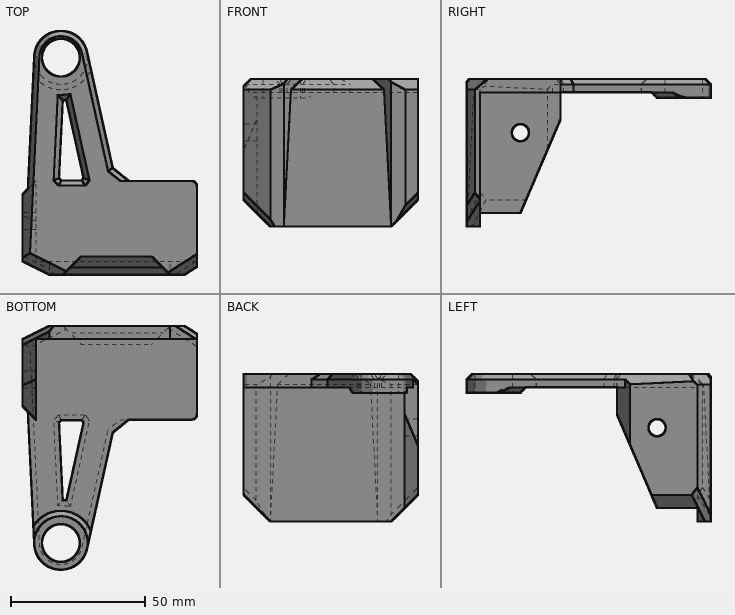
import cadquery as cq
import math

width = 65.0
depth = 35.0
height = 55.0
wall = 5.0

left_bevel_x = 10.0
left_bevel_y = 5.0
right_bevel_x = 4.7
right_bevel_y = 3.0
rear_left_bevel = 5.0
rear_right_radius = 2.0

lower_corner = 10.0
lower_edge_chamfer = 2.0
top_bevel = 4.0
wall_rear_z = -15.0
wall_foot_y = 20.0
wall_foot_z = -50.0

recess_left = 15.0
recess_right = 55.0
recess_lean = 3.0

cross_hole_diameter = 6.3
cross_hole_y = 20.0
cross_hole_z = -20.0

eye_x = 14.3
eye_y = 80.91
eye_radius = 10.0
eye_hole_diameter = 14.0
eye_height = 7.0
eye_foot_flare = 2.0
arm_left_tilt = 2.75
arm_right_tilt = 12.5
arm_chamfer = 2.0
arm_root_y = 20.0
gusset_start_y = 39.8
gusset_tilt = 39.0

window_margin = 9.5
window_front_y = 33.2
window_rear_y = 66.9
window_rear_tilt = 4.9
window_corner = 2.0


def tan_deg(angle):
    return math.tan(math.radians(angle))


def eye_point(angle):
    """Point on the rim of the eye, at an angle from +X."""
    turn = math.radians(angle)
    return (eye_x + eye_radius * math.cos(turn), eye_y + eye_radius * math.sin(turn))


left_tangent = eye_point(180 - arm_left_tilt)
right_tangent = eye_point(arm_right_tilt)


def arm_left_x(y, inset=0.0):
    """X of the arm's left side at y, moved square into the arm by inset."""
    shift = inset / math.cos(math.radians(arm_left_tilt))
    return left_tangent[0] + (y - left_tangent[1]) * tan_deg(arm_left_tilt) + shift


def arm_right_x(y, inset=0.0):
    """X of the arm's right side at y, moved square into the arm by inset."""
    shift = inset / math.cos(math.radians(arm_right_tilt))
    return right_tangent[0] + (right_tangent[1] - y) * tan_deg(arm_right_tilt) - shift


def side_prism(points):
    """Y-Z outline extruded across the whole width."""
    return cq.Workplane("YZ").polyline(points).close().extrude(width)


def top_bevel_cutter(start, end, size):
    """45 degree wedge along the plan line start-end; the part is on its left."""
    dx = end[0] - start[0]
    dy = end[1] - start[1]
    length = math.hypot(dx, dy)
    outward = (dy / length, -dx / length, 0)
    reach = height / 2
    plane = cq.Plane(origin=(start[0], start[1], 0), xDir=outward, normal=(-dx, -dy, 0))
    wedge = cq.Workplane(plane).polyline([(-size, 0), (reach, 0), (reach, -size - reach)])
    return wedge.close().extrude(length + reach, both=True)


def make_guard_blank():
    plan = [
        (left_bevel_x, 0),
        (width - right_bevel_x, 0),
        (width, right_bevel_y),
        (width, depth),
        (rear_left_bevel, depth),
        (0, depth - rear_left_bevel),
        (0, left_bevel_y),
    ]
    blank = cq.Workplane("XY").polyline(plan).close().extrude(-height)
    blank = blank.edges(cq.selectors.NearestToPointSelector((width, depth, -height / 2)))
    blank = blank.fillet(rear_right_radius)

    front_outline = [
        (0, 0),
        (width, 0),
        (width, lower_corner - height),
        (width - lower_corner, -height),
        (lower_corner, -height),
        (0, lower_corner - height),
    ]
    front = cq.Workplane("XZ").polyline(front_outline).close().extrude(-depth)
    return blank.intersect(front)


def chamfer_lower_edges(guard):
    left_middle = (left_bevel_x / 2, left_bevel_y / 2, lower_corner - height - left_bevel_x / 2)
    right_middle = (
        width - right_bevel_x / 2,
        right_bevel_y / 2,
        lower_corner - height - right_bevel_x / 2,
    )
    for middle in (left_middle, right_middle):
        edge = guard.edges(cq.selectors.NearestToPointSelector(middle))
        guard = edge.chamfer(lower_edge_chamfer)
    return guard


def cut_rear_slope(guard):
    slope = (depth - wall_foot_y) / (wall_rear_z - wall_foot_z)
    lowest_y = wall_foot_y + (-height - wall_foot_z) * slope
    profile = [(0, 0), (depth, 0), (depth, wall_rear_z), (lowest_y, -height), (0, -height)]
    return guard.intersect(side_prism(profile))


def cut_cavity(guard):
    cavity = cq.Workplane("XY").box(width, depth, height, centered=False)
    return guard.cut(cavity.translate((wall, wall, -height - wall)))


def bevel_top(guard):
    left = top_bevel_cutter((0, left_bevel_y), (left_bevel_x, 0), top_bevel)
    right = top_bevel_cutter((width - right_bevel_x, 0), (width, right_bevel_y), top_bevel)
    arm_side = top_bevel_cutter((arm_left_x(depth), depth), (arm_left_x(0), 0), arm_chamfer)
    return guard.cut(left).cut(right).cut(arm_side)


def cut_recess(guard):
    """Leaning front recess with 45 degree sides and a bevelled top edge."""
    lean_top_y = height * tan_deg(recess_lean)
    bevel_top_y = lean_top_y + top_bevel
    bevel_low_z = -top_bevel * math.cos(math.radians(recess_lean))
    bevel_low_y = (height + bevel_low_z) * tan_deg(recess_lean)
    recess = side_prism([(0, -height), (bevel_low_y, bevel_low_z), (bevel_top_y, 0), (0, 0)])
    sides = [
        (recess_left, 0),
        (recess_right, 0),
        (recess_right - bevel_top_y, bevel_top_y),
        (recess_left + bevel_top_y, bevel_top_y),
    ]
    side_limit = cq.Workplane("XY").polyline(sides).close().extrude(-height)
    return guard.cut(recess.intersect(side_limit))


def drill_cross_hole(guard):
    hole = cq.Workplane("YZ").center(cross_hole_y, cross_hole_z)
    return guard.cut(hole.circle(cross_hole_diameter / 2).extrude(width))


def arm_prism(thickness):
    gusset_start_x = arm_right_x(gusset_start_y)
    gusset_end_x = gusset_start_x + (gusset_start_y - arm_root_y) / tan_deg(gusset_tilt)
    return (
        cq.Workplane("XY")
        .moveTo(arm_left_x(arm_root_y), arm_root_y)
        .lineTo(*left_tangent)
        .threePointArc(eye_point(90), right_tangent)
        .lineTo(gusset_start_x, gusset_start_y)
        .lineTo(gusset_end_x, arm_root_y)
        .close()
        .extrude(-thickness)
    )


def make_eye_foot():
    """Thickening under the eye, flared into the arm and trimmed to its sides."""
    foot_height = eye_height - wall
    cone = cq.Solid.makeCone(
        eye_radius, eye_radius + eye_foot_flare, foot_height, pnt=cq.Vector(eye_x, eye_y, -eye_height)
    )
    return arm_prism(eye_height).intersect(cq.Workplane(cone))


def window_outline(shrink):
    """Corners of the window, moved inward by shrink from its chamfered top edge."""
    inset = window_margin + shrink
    front_y = window_front_y + shrink
    rear_y = window_rear_y - shrink
    corner = window_corner - shrink * (2 - math.sqrt(2))
    rear_rise = (arm_right_x(rear_y, inset) - arm_left_x(rear_y, inset)) * tan_deg(window_rear_tilt)
    return [
        (arm_left_x(rear_y, inset), rear_y),
        (arm_right_x(rear_y + rear_rise, inset), rear_y + rear_rise),
        (arm_right_x(front_y + corner, inset), front_y + corner),
        (arm_right_x(front_y, inset) - corner, front_y),
        (arm_left_x(front_y, inset) + corner, front_y),
        (arm_left_x(front_y + corner, inset), front_y + corner),
    ]


def cut_window(part):
    """Window with straight walls and a chamfer around its top edge."""
    opening = cq.Workplane("XY").polyline(window_outline(arm_chamfer)).close().extrude(-wall)
    chamfer = (
        cq.Workplane("XY")
        .polyline(window_outline(0))
        .close()
        .workplane(offset=-arm_chamfer)
        .polyline(window_outline(arm_chamfer))
        .close()
        .loft(ruled=True)
    )
    return part.cut(opening).cut(chamfer)


def make_arm():
    arm = arm_prism(wall).faces(">Z").chamfer(arm_chamfer)
    return arm.union(make_eye_foot())


def make_guard():
    guard = chamfer_lower_edges(make_guard_blank())
    guard = cut_rear_slope(guard)
    guard = cut_cavity(guard)
    guard = bevel_top(guard)
    guard = cut_recess(guard)
    return drill_cross_hole(guard)


eye_hole = (
    cq.Workplane("XY").center(eye_x, eye_y).circle(eye_hole_diameter / 2).extrude(-eye_height)
)
result = cut_window(make_guard().union(make_arm()).cut(eye_hole))